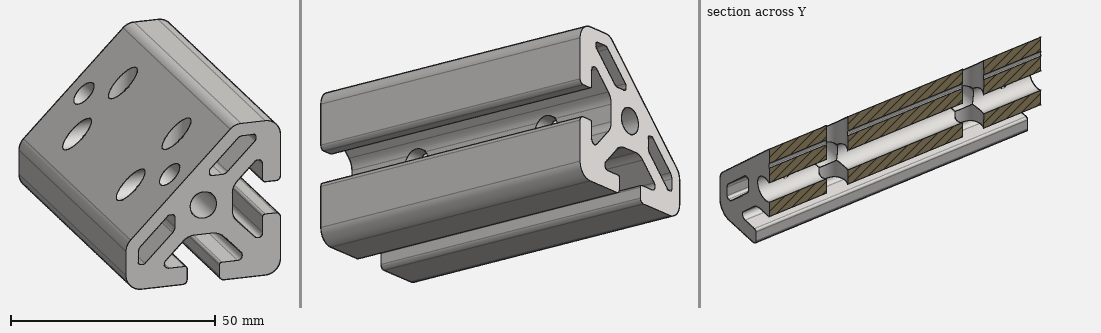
import cadquery as cq
import math

length = 80.0
side = 40.0
half = side / 2
corner_radius = 4.0
slope_distance = 8.4
slope_sum = slope_distance * math.sqrt(2)
bore_diameter = 6.8

opening_half_width = 4.2
lip_thickness = 4.6
lip_outer_radius = 1.2
lip_inner_radius = 0.6
slot_depth = 12.5
slot_half_width = 10.1
slot_end_radius = 1.2
slot_floor_radius = 4.0

wall = 3.2
chamber_width = 4.0
chamber_far_edge = half - 6.4
chamber_near_edge = 1.6
chamber_inner_edge = 7.4
chamber_sharp_radius = 0.6
chamber_blunt_radius = 2.0

screw_diameter = 7.0
screw_spacing = 40.0
slope_hole_diameter = 6.6
slope_hole_spacing = 64.0


def prism(points):
    """Extrude a (y, z) outline over the whole length, centred on X = 0."""
    return cq.Workplane("YZ").polyline(points).close().extrude(length / 2, both=True)


def round_edges(solid, points, radius):
    """Round the lengthwise edges of a prism that pass through the given (y, z) points."""
    reach = 0.01
    for y, z in points:
        box = cq.selectors.BoxSelector(
            (-length, y - reach, z - reach), (length, y + reach, z + reach)
        )
        solid = solid.edges("|X").edges(box).fillet(radius)
    return solid


def swap_slot_sides(points):
    """Reflect (y, z) points across the symmetry plane, from the +Y side to the -Z side."""
    return [(-z, -y) for y, z in points]


def make_body():
    """Square profile with its -Y, +Z corner cut off and all outer corners rounded."""
    outline = [
        (half, -half),
        (half, half),
        (half - slope_sum, half),
        (-half, slope_sum - half),
        (-half, -half),
    ]
    return round_edges(prism(outline), outline, corner_radius)


def make_slot():
    """The T-slot that opens to +Y, as a cutter symmetric about Z = 0."""
    lip_y = half - lip_thickness
    floor_y = half - slot_depth
    arc_y = lip_y - slot_end_radius
    arc_z = slot_half_width - slot_end_radius
    diagonal = slot_end_radius * math.sqrt(0.5)
    flank_y = arc_y - diagonal
    flank_z = arc_z + diagonal
    floor_z = flank_z - (flank_y - floor_y)
    upper_half = (
        cq.Workplane("YZ")
        .moveTo(half, 0)
        .lineTo(half, opening_half_width)
        .lineTo(lip_y, opening_half_width)
        .lineTo(lip_y, arc_z)
        .threePointArc((arc_y, slot_half_width), (flank_y, flank_z))
        .lineTo(floor_y, floor_z)
        .lineTo(floor_y, 0)
        .close()
        .extrude(length / 2, both=True)
    )
    upper_half = round_edges(upper_half, [(floor_y, floor_z)], slot_floor_radius)
    return upper_half.union(upper_half.mirror("XY"))


def make_chamber(orient):
    """Hexagonal chamber with two long sides parallel to the slope."""
    outer_sum = slope_sum - wall * math.sqrt(2)
    inner_sum = outer_sum - chamber_width * math.sqrt(2)
    top = half - wall
    sharp = [
        (chamber_far_edge, inner_sum + chamber_far_edge),
        (chamber_far_edge, top),
        (chamber_near_edge, outer_sum + chamber_near_edge),
        (chamber_near_edge, chamber_inner_edge),
    ]
    blunt = [(top - outer_sum, top), (chamber_inner_edge - inner_sum, chamber_inner_edge)]
    outline = sharp[:2] + blunt[:1] + sharp[2:] + blunt[1:]
    chamber = round_edges(prism(orient(outline)), orient(sharp), chamber_sharp_radius)
    return round_edges(chamber, orient(blunt), chamber_blunt_radius)


def round_lips(solid, orient):
    """Round the inner and outer edges of the two lips of a slot."""
    for lip_z in (opening_half_width, -opening_half_width):
        solid = round_edges(solid, orient([(half, lip_z)]), lip_outer_radius)
        solid = round_edges(solid, orient([(half - lip_thickness, lip_z)]), lip_inner_radius)
    return solid


def make_hole(diameter, start, direction):
    """A round cutter that starts at a point and reaches past the outer faces."""
    cylinder = cq.Solid.makeCylinder(
        diameter / 2, 2 * side, cq.Vector(*start), cq.Vector(*direction)
    )
    return cq.Workplane(cylinder)


result = make_body().cut(make_hole(bore_diameter, (-length / 2, 0, 0), (1, 0, 0)))
slot = make_slot()
result = result.cut(slot).cut(slot.rotate((0, 0, 0), (1, 0, 0), -90))
for orient in (list, swap_slot_sides):
    result = result.cut(make_chamber(orient))
    result = round_lips(result, orient)

for x in (-screw_spacing / 2, screw_spacing / 2):
    result = result.cut(make_hole(screw_diameter, (x, -side, 0), (0, 1, 0)))
    result = result.cut(make_hole(screw_diameter, (x, 0, -side), (0, 0, 1)))

for x in (-slope_hole_spacing / 2, slope_hole_spacing / 2):
    result = result.cut(make_hole(slope_hole_diameter, (x, 0, 0), (0, -1, 1)))